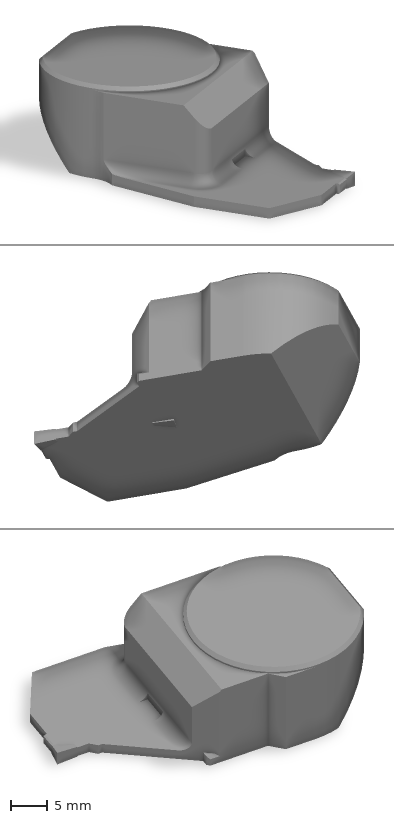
import cadquery as cq
import math


disc_radius = 12.45
disc_height = 13.75
disc_chamfer = 0.5
flat_x = -11.45
undercut_height = 7.6
nub_tip_x = 4.75

block_height = 12.95
block_right = 17.3
block_front = -12.8
block_back = 10.65
block_corner_radius = 1.8
block_chamfer = 3.45
root_radius = 1.65

blade_thickness = 1.55
blade_right = 33.1
blade_front = -17.0
blade_front_right = 28.65
blade_side_start = -9.3
neck_radius = 5.15
neck_end_x = 3.55
slope_start_x = 14.15
slope_end_x = 27.45

ledge_right = 16.0
ledge_chamfer = 0.4

insert_center_x = 23.85
insert_tip_length = 10.05
insert_end_length = 9.8
insert_back = 0.2
insert_front = -4.35
hump_back = 1.15
hump_top_length = 4.15
hump_base_length = 5.12
end_chamfer_length = 0.25
end_chamfer_height = 0.15
pad_height = 0.25
pad_inner_length = 6.95
pad_inner_y = -0.7
pad_outer_y = -2.0
slot_left = 17.35

oversize = 27.2


def make_disc_head():
    """Round head with a flat, a chamfered rim and a 45 degree undercut."""
    disc = cq.Workplane("XY").circle(disc_radius).extrude(disc_height)
    beyond_flat = (
        cq.Workplane("XY")
        .box(oversize, 2 * oversize, 2 * oversize)
        .translate((flat_x - oversize / 2, 0, 0))
    )
    disc = disc.cut(beyond_flat).faces(">Z").edges().chamfer(disc_chamfer)
    nub = (
        cq.Workplane("XY")
        .moveTo(0, 0)
        .lineTo(0, disc_radius)
        .lineTo(nub_tip_x, disc_radius)
        .lineTo(nub_tip_x + disc_radius - block_back, block_back)
        .lineTo(nub_tip_x + disc_radius - block_back, 0)
        .close()
        .extrude(block_height)
    )
    undercut = (
        cq.Workplane("XZ")
        .polyline([(flat_x, 0), (flat_x, undercut_height), (flat_x + undercut_height, 0)])
        .close()
        .extrude(oversize, both=True)
    )
    return disc.union(nub).cut(undercut)


def make_outline():
    """Prism of the plan outline that bounds the block and the blade."""
    neck_drop = neck_radius - math.sqrt(neck_radius**2 - neck_end_x**2)
    neck_mid_x = neck_end_x / 2
    neck_mid_drop = neck_radius - math.sqrt(neck_radius**2 - neck_mid_x**2)
    return (
        cq.Workplane("XY")
        .moveTo(0, -disc_radius)
        .threePointArc(
            (neck_mid_x, -disc_radius - neck_mid_drop),
            (neck_end_x, -disc_radius - neck_drop),
        )
        .lineTo(block_right, blade_front)
        .lineTo(blade_front_right, blade_front)
        .lineTo(blade_right, blade_side_start)
        .lineTo(blade_right, insert_front)
        .lineTo(slope_end_x, insert_front)
        .lineTo(slope_end_x, hump_back)
        .lineTo(slope_start_x, block_back)
        .lineTo(0, block_back)
        .close()
        .extrude(disc_height)
    )


def make_block_and_blade():
    """Shoulder block rising from the thin blade with a rounded root."""
    block = (
        cq.Workplane("XY")
        .box(block_right, oversize - block_front, block_height, centered=False)
        .translate((0, block_front, 0))
    )
    block = block.edges("|Z and >X and <Y").fillet(block_corner_radius)
    bevel = (
        cq.Workplane("XZ")
        .polyline([
            (block_right - block_chamfer, block_height),
            (block_right, block_height),
            (block_right, block_height - block_chamfer),
        ])
        .close()
        .extrude(oversize, both=True)
    )
    slab = (
        cq.Workplane("XY")
        .box(2 * oversize, 2 * oversize, blade_thickness, centered=False)
        .translate((0, -oversize, 0))
    )
    stepped = block.union(slab)
    margin = 0.05
    root = cq.selectors.BoxSelector(
        (margin, block_front - margin, blade_thickness - margin),
        (block_right + margin, oversize - margin, blade_thickness + margin),
    )
    return stepped.edges(root).fillet(root_radius).cut(bevel).intersect(make_outline())


def make_ledge():
    """Low ledge beside the sloped back face, with its free corner and top edge bevelled."""
    ledge = (
        cq.Workplane("XY")
        .box(ledge_right - nub_tip_x, block_back, blade_thickness, centered=False)
        .translate((nub_tip_x, 0, 0))
    )
    ledge = ledge.edges("|Z and >X and >Y").chamfer(ledge_chamfer)
    return ledge.edges(">Y and >Z").chamfer(ledge_chamfer)


def make_insert_pad():
    """Sloped cutting pad on top of the +X end, thickest at the back corner."""
    inner_x = insert_center_x + pad_inner_length
    end_x = insert_center_x + insert_end_length
    tip_x = insert_center_x + insert_tip_length
    prism = (
        cq.Workplane("XY")
        .polyline([(inner_x, insert_back), (inner_x, pad_inner_y), (end_x, pad_outer_y), (tip_x, insert_back)])
        .close()
        .extrude(blade_thickness + pad_height)
    )
    run_x = end_x - inner_x
    run_y = pad_outer_y - pad_inner_y
    run = math.hypot(run_x, run_y)
    rise_length = (run_x * (insert_back - pad_inner_y) - run_y * (tip_x - inner_x)) / run
    wedge_plane = cq.Plane(
        origin=(inner_x, pad_inner_y, blade_thickness),
        xDir=(-run_y, run_x, 0),
        normal=(run_x, run_y, 0),
    )
    wedge = (
        cq.Workplane(wedge_plane)
        .polyline([(0, 0), (rise_length, 0), (rise_length, pad_height)])
        .close()
        .extrude(oversize, both=True)
    )
    return prism.intersect(wedge)


def make_insert():
    """Double-ended insert, symmetric about its mid-length and mid-thickness."""
    half_outline = [
        (0, insert_front),
        (insert_end_length, insert_front),
        (insert_end_length, pad_outer_y),
        (insert_tip_length, insert_back),
        (hump_base_length, insert_back),
        (hump_top_length, hump_back),
        (0, hump_back),
    ]
    half = (
        cq.Workplane("XY")
        .polyline(half_outline)
        .close()
        .extrude(blade_thickness)
        .translate((insert_center_x, 0, 0))
    )
    pad = make_insert_pad()
    end_x = insert_center_x + insert_end_length
    bevel = (
        cq.Workplane("XZ", origin=(0, pad_outer_y, 0))
        .polyline([
            (end_x - end_chamfer_length, blade_thickness),
            (end_x, blade_thickness),
            (end_x, blade_thickness - end_chamfer_height),
        ])
        .close()
        .extrude(pad_outer_y - insert_front)
    )
    mid_height = (0, 0, blade_thickness / 2)
    half = half.cut(bevel).cut(bevel.mirror("XY", mid_height))
    half = half.union(pad).union(pad.mirror("XY", mid_height))
    return half.union(half.mirror("YZ", (insert_center_x, 0, 0)))


def make_holder(insert):
    """One-piece holder with a seat matching the insert."""
    holder = make_disc_head().union(make_block_and_blade()).union(make_ledge())
    root_slot = (
        cq.Workplane("XY")
        .box(insert_center_x - slot_left, insert_back - insert_front, root_radius, centered=False)
        .translate((slot_left, insert_front, blade_thickness))
    )
    return holder.cut(root_slot).cut(insert)


cutting_insert = make_insert()
tool_holder = make_holder(cutting_insert)

result = cq.Compound.makeCompound([tool_holder.solids().val(), cutting_insert.solids().val()])